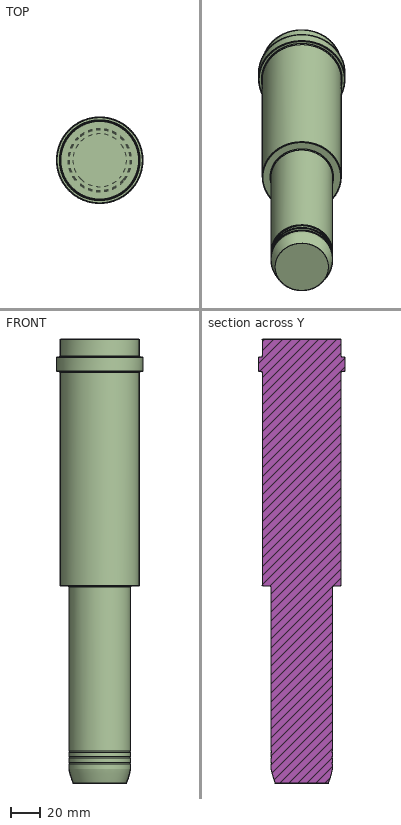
import cadquery as cq

length = 303.0
flange_top = 291.0
flange_bottom = 281.0
body_bottom = 134.5
nose_height = 9.7

flange_radius = 59.0 / 2
body_radius = 54.0 / 2
shaft_radius = 42.0 / 2
tip_radius = 18.2

edge_bevel = 0.45
root_bevel = 0.5

nose_bulge = 0.3

groove_bottoms = (13.3, 17.3, 21.2)
groove_width = 1.0
groove_depth = 0.3


def stepped_pin():
    """Revolve the half outline of the pin about the Z axis."""
    nose_middle = ((shaft_radius + tip_radius) / 2 + nose_bulge, nose_height / 2)
    outline = (
        cq.Workplane("XZ")
        .moveTo(0, 0)
        .lineTo(tip_radius, 0)
        .threePointArc(nose_middle, (shaft_radius, nose_height))
        .lineTo(shaft_radius, body_bottom - root_bevel)
        .lineTo(shaft_radius + root_bevel, body_bottom)
        .lineTo(body_radius - edge_bevel, body_bottom)
        .lineTo(body_radius, body_bottom + edge_bevel)
        .lineTo(body_radius, flange_bottom - root_bevel)
        .lineTo(body_radius + root_bevel, flange_bottom)
        .lineTo(flange_radius - edge_bevel, flange_bottom)
        .lineTo(flange_radius, flange_bottom + edge_bevel)
        .lineTo(flange_radius, flange_top - edge_bevel)
        .lineTo(flange_radius - edge_bevel, flange_top)
        .lineTo(body_radius + root_bevel, flange_top)
        .lineTo(body_radius, flange_top + root_bevel)
        .lineTo(body_radius, length - edge_bevel)
        .lineTo(body_radius - edge_bevel, length)
        .lineTo(0, length)
        .close()
    )
    return outline.revolve(360, (0, 0, 0), (0, 1, 0))


def ring_cutter(bottom):
    """Ring that cuts one groove into the shaft."""
    return (
        cq.Workplane("XY")
        .workplane(offset=bottom)
        .circle(body_radius)
        .circle(shaft_radius - groove_depth)
        .extrude(groove_width)
    )


result = stepped_pin()
for groove_bottom in groove_bottoms:
    result = result.cut(ring_cutter(groove_bottom))